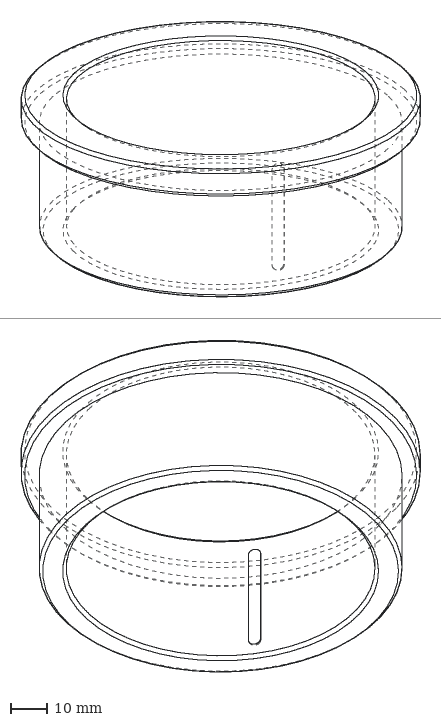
import cadquery as cq

flange_diameter = 110.0
sleeve_diameter = 100.0
bore_diameter = 85.0
total_height = 40.0
flange_thickness = 8.0
chamfer = 1.0

groove_radius = 1.8
groove_end_inset = 5.9

groove_length = total_height - 2 * groove_end_inset
flange_bottom = total_height - flange_thickness


def chamfered_disc(diameter, height):
    """Disc standing on Z = 0, with both rims chamfered."""
    disc = cq.Workplane("XY").circle(diameter / 2).extrude(height)
    return disc.edges("%CIRCLE").chamfer(chamfer)


def sleeve():
    """Plain cylinder reaching the top face, chamfered at its lower rim."""
    cylinder = cq.Workplane("XY").circle(sleeve_diameter / 2).extrude(total_height)
    return cylinder.faces("<Z").edges().chamfer(chamfer)


def bore_cutter():
    """Through bore that flares at both mouths to leave a chamfer."""
    radius = bore_diameter / 2
    mouth_radius = radius + chamfer
    profile = [
        (0, 0),
        (mouth_radius, 0),
        (radius, chamfer),
        (radius, total_height - chamfer),
        (mouth_radius, total_height),
        (0, total_height),
    ]
    return cq.Workplane("XZ").polyline(profile).close().revolve(360, (0, 0, 0), (0, 1, 0))


def groove_cutter():
    """Round vertical groove centred on the bore wall, with ball-shaped ends."""
    lower_centre = cq.Workplane("XY", origin=(bore_diameter / 2, 0, groove_end_inset))
    groove = lower_centre.circle(groove_radius).extrude(groove_length)
    ball = lower_centre.sphere(groove_radius)
    return groove.union(ball).union(ball.translate((0, 0, groove_length)))


flange = chamfered_disc(flange_diameter, flange_thickness).translate((0, 0, flange_bottom))
result = flange.union(sleeve()).cut(bore_cutter()).cut(groove_cutter())